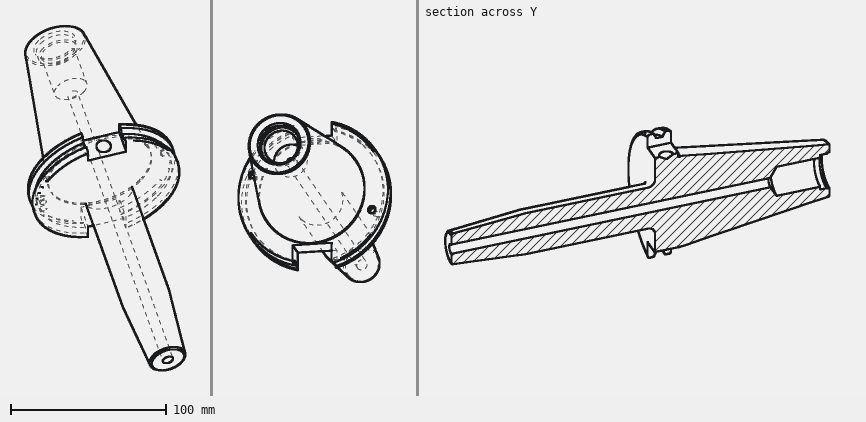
import cadquery as cq
import math

total_length = 261.5
gauge_x = 101.2
neck_x = 103.3
flange_back_x = 104.6
flange_front_x = 120.9
nose_x = 210.5

gauge_diameter = 69.8
neck_diameter = 69.3
taper_ratio = 7 / 24
taper_edge_chamfer = 0.8

flange_diameter = 98.0
flange_edge_round = 1.5
groove_center_x = 112.7
groove_floor_width = 4.2
groove_depth = 3.7
groove_wall_angle = 27.0

shank_diameter = 32.0
shank_fillet = 4.7
nose_half_angle = 4.5
nose_chamfer = 1.0

mouth_diameter = 28.3
mouth_chamfer_depth = 2.0
pilot_diameter = 26.2
pilot_depth = 6.5
socket_diameter = 22.0
socket_depth = 36.5
through_diameter = 6.8
socket_cone_half_angle = 60.0

slot_width = 25.6
upper_slot_floor = 37.7
lower_slot_floor = 35.0
drive_dimple_diameter = 9.5
drive_dimple_x = 112.7
drill_half_angle = 59.0

coolant_angle = 20.0
coolant_pitch_radius = 41.9
coolant_mouth_diameter = 5.0
coolant_mouth_depth = 0.8
coolant_hole_diameter = 4.2
coolant_hole_depth = 4.0
coolant_outlet_diameter = 3.1
coolant_outlet_depth = 4.0


def cone_length(radius_change, half_angle):
    """Axial length of a cone that changes radius at the given half angle."""
    return radius_change / math.tan(math.radians(half_angle))


def revolve_about_x(profile):
    return profile.close().revolve(360, (0, 0, 0), (1, 0, 0))


def make_body():
    small_radius = (gauge_diameter - gauge_x * taper_ratio) / 2
    chamfer_radius = small_radius + taper_edge_chamfer * taper_ratio / 2
    flange_radius = flange_diameter / 2
    shank_radius = shank_diameter / 2
    nose_slope = math.tan(math.radians(nose_half_angle))
    tip_radius = shank_radius - (total_length - nose_x) * nose_slope
    tip_edge_radius = tip_radius + nose_chamfer * nose_slope
    arc_inset = flange_edge_round * (1 - math.sqrt(0.5))
    fillet_inset = shank_fillet * (1 - math.sqrt(0.5))

    profile = (
        cq.Workplane("XY")
        .moveTo(0, 0)
        .lineTo(0, small_radius - taper_edge_chamfer)
        .lineTo(taper_edge_chamfer, chamfer_radius)
        .lineTo(gauge_x, gauge_diameter / 2)
        .lineTo(neck_x, gauge_diameter / 2)
        .lineTo(neck_x, neck_diameter / 2)
        .lineTo(flange_back_x, neck_diameter / 2)
        .lineTo(flange_back_x, flange_radius - flange_edge_round)
        .threePointArc(
            (flange_back_x + arc_inset, flange_radius - arc_inset),
            (flange_back_x + flange_edge_round, flange_radius),
        )
        .lineTo(flange_front_x - flange_edge_round, flange_radius)
        .threePointArc(
            (flange_front_x - arc_inset, flange_radius - arc_inset),
            (flange_front_x, flange_radius - flange_edge_round),
        )
        .lineTo(flange_front_x, shank_radius + shank_fillet)
        .threePointArc(
            (flange_front_x + fillet_inset, shank_radius + fillet_inset),
            (flange_front_x + shank_fillet, shank_radius),
        )
        .lineTo(nose_x, shank_radius)
        .lineTo(total_length - nose_chamfer, tip_edge_radius)
        .lineTo(total_length, tip_radius - nose_chamfer)
        .lineTo(total_length, 0)
    )
    return revolve_about_x(profile)


def make_gripper_groove():
    outer_radius = flange_diameter / 2
    floor_radius = outer_radius - groove_depth
    half_floor = groove_floor_width / 2
    half_top = half_floor + groove_depth * math.tan(math.radians(groove_wall_angle))
    profile = (
        cq.Workplane("XY")
        .moveTo(groove_center_x - half_floor, floor_radius)
        .lineTo(groove_center_x + half_floor, floor_radius)
        .lineTo(groove_center_x + half_top, outer_radius)
        .lineTo(groove_center_x - half_top, outer_radius)
    )
    return revolve_about_x(profile)


def make_bore():
    pilot_radius = pilot_diameter / 2
    socket_radius = socket_diameter / 2
    through_radius = through_diameter / 2
    cone_end_x = socket_depth + cone_length(socket_radius - through_radius, socket_cone_half_angle)
    profile = (
        cq.Workplane("XY")
        .moveTo(0, 0)
        .lineTo(0, mouth_diameter / 2)
        .lineTo(mouth_chamfer_depth, pilot_radius)
        .lineTo(pilot_depth, pilot_radius)
        .lineTo(pilot_depth, socket_radius)
        .lineTo(socket_depth, socket_radius)
        .lineTo(cone_end_x, through_radius)
        .lineTo(total_length, through_radius)
        .lineTo(total_length, 0)
    )
    return revolve_about_x(profile)


def make_drive_slot(floor_height, side):
    """Slot across the flange rim; side is +1 for the top and -1 for the bottom."""
    slot_length = flange_front_x - flange_back_x
    slot_depth = flange_diameter / 2 - floor_height
    return cq.Workplane("XY").box(slot_length, slot_width, slot_depth).translate(
        (flange_back_x + slot_length / 2, 0, side * (floor_height + slot_depth / 2))
    )


def make_drilled_hole(diameter, depth, start, direction):
    """Blind hole with a drill-point bottom."""
    radius = diameter / 2
    straight = cq.Solid.makeCylinder(radius, depth, start, direction)
    tip_start = start + direction.normalized() * depth
    point = cq.Solid.makeCone(radius, 0, cone_length(radius, drill_half_angle), tip_start, direction)
    return straight.fuse(point)


def make_drive_dimple():
    """Conical drill mark in the floor of the upper drive slot."""
    radius = drive_dimple_diameter / 2
    center = cq.Vector(drive_dimple_x, 0, upper_slot_floor)
    return cq.Solid.makeCone(radius, 0, cone_length(radius, drill_half_angle), center, cq.Vector(0, 0, -1))


def cut_coolant_holes(body):
    along_x = cq.Vector(1, 0, 0)
    for angle in (coolant_angle, coolant_angle + 180):
        outward = cq.Vector(0, math.cos(math.radians(angle)), math.sin(math.radians(angle)))
        face_point = cq.Vector(flange_back_x, 0, 0) + outward * coolant_pitch_radius
        mouth = cq.Solid.makeCone(
            coolant_mouth_diameter / 2, coolant_hole_diameter / 2, coolant_mouth_depth, face_point, along_x
        )
        inlet = make_drilled_hole(coolant_hole_diameter, coolant_hole_depth, face_point, along_x)
        groove_point = cq.Vector(groove_center_x, 0, 0) + outward * (flange_diameter / 2 - groove_depth)
        outlet_start = groove_point + outward * groove_depth
        outlet = make_drilled_hole(
            coolant_outlet_diameter, groove_depth + coolant_outlet_depth, outlet_start, outward * -1
        )
        body = body.cut(mouth).cut(inlet).cut(outlet)
    return body


holder = make_body().cut(make_gripper_groove()).cut(make_bore())
holder = holder.cut(make_drive_slot(upper_slot_floor, 1))
holder = holder.cut(make_drive_slot(lower_slot_floor, -1))
holder = holder.cut(make_drive_dimple())
result = cut_coolant_holes(holder)